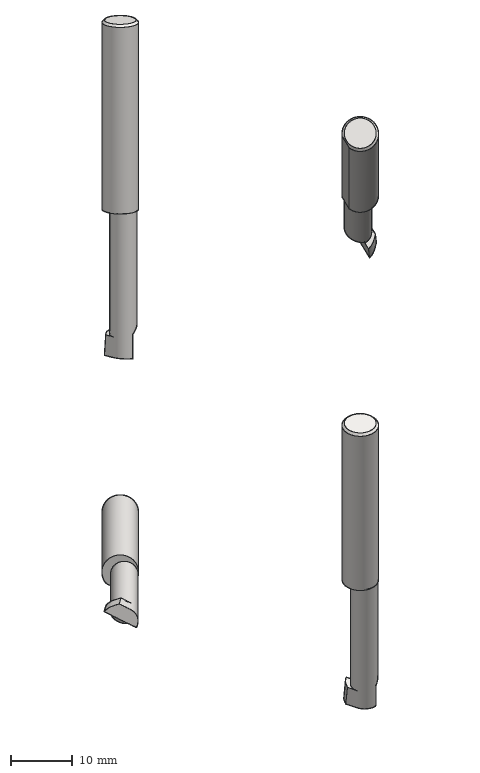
import cadquery as cq
import math

total_length = 57.0
shank_diameter = 6.0
shank_bottom = 24.95
shank_flat_y = 2.765
top_chamfer = 0.4

neck_diameter = 4.5
neck_radius = neck_diameter / 2
neck_x = (shank_diameter - neck_diameter) / 2

rake_flat_top = 4.35
runout_angle = 41.0

tooth_height = 3.9
tip_x = -shank_diameter / 2
flank_end = (-2.1, -1.55)
flank_middle = (-2.7, -0.8)
heel_x = -1.4
tooth_lean = 0.35
end_relief_angle = 6.0
end_edge_angle = 2.0


def make_shank():
    shank = (
        cq.Workplane("XY")
        .workplane(offset=shank_bottom)
        .circle(shank_diameter / 2)
        .extrude(total_length - shank_bottom)
        .faces(">Z")
        .chamfer(top_chamfer)
    )
    beyond_flat = (
        cq.Workplane("XY")
        .box(shank_diameter, shank_diameter, total_length, centered=(True, False, False))
        .translate((0, shank_flat_y, 0))
    )
    return shank.cut(beyond_flat)


def make_neck():
    neck = cq.Workplane("XY").center(neck_x, 0).circle(neck_radius).extrude(shank_bottom)
    runout_rise = shank_diameter * math.tan(math.radians(runout_angle))
    clearance = (
        cq.Workplane("YZ")
        .moveTo(0, 0)
        .lineTo(0, rake_flat_top)
        .lineTo(shank_diameter, rake_flat_top + runout_rise)
        .lineTo(shank_diameter, 0)
        .close()
        .extrude(shank_diameter, both=True)
    )
    return neck.cut(clearance)


def tooth_section(workplane, shift):
    return (
        workplane.moveTo(tip_x + shift, 0)
        .threePointArc(
            (flank_middle[0] + shift, flank_middle[1]),
            (flank_end[0] + shift, flank_end[1]),
        )
        .lineTo(heel_x + shift, -neck_radius)
        .lineTo(neck_x, -neck_radius)
        .lineTo(neck_x, 0)
        .close()
    )


def make_tooth():
    lower = tooth_section(cq.Workplane("XY"), 0)
    return tooth_section(lower.workplane(offset=tooth_height), tooth_lean).loft(ruled=True)


def make_end_relief():
    slope_x = math.tan(math.radians(end_edge_angle))
    slope_y = math.tan(math.radians(end_relief_angle))
    below_end = cq.Plane(origin=(tip_x, 0, 0), xDir=(1, 0, slope_x), normal=(-slope_x, slope_y, 1))
    return cq.Workplane(below_end).rect(4 * shank_diameter, 4 * shank_diameter).extrude(-shank_diameter)


result = make_shank().union(make_neck()).union(make_tooth()).cut(make_end_relief())